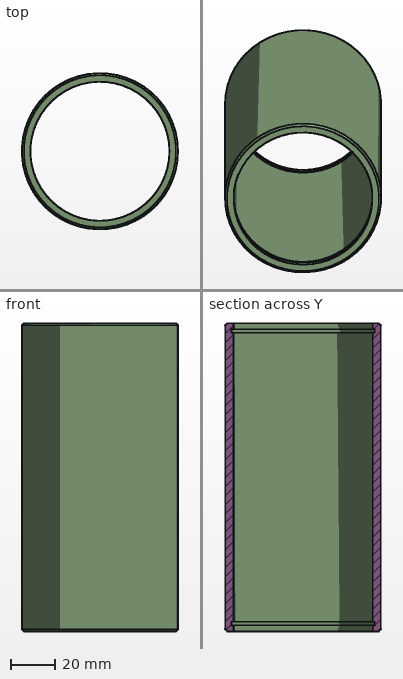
import cadquery as cq

length = 140.0
outer_diameter = 71.0
bore_diameter = 63.0
rim_chamfer = 1.0
lip_height = 2.8
groove_width = 1.5
groove_depth = 1.0

groove_diameter = bore_diameter + 2 * groove_depth

tube = cq.Workplane("XY").circle(outer_diameter / 2).extrude(length)
tube = tube.faces("<Z or >Z").chamfer(rim_chamfer)
bore = cq.Workplane("XY").circle(bore_diameter / 2).extrude(length)
result = tube.cut(bore)

for groove_bottom in (lip_height, length - lip_height - groove_width):
    groove = (
        cq.Workplane("XY")
        .workplane(offset=groove_bottom)
        .circle(groove_diameter / 2)
        .extrude(groove_width)
    )
    result = result.cut(groove)